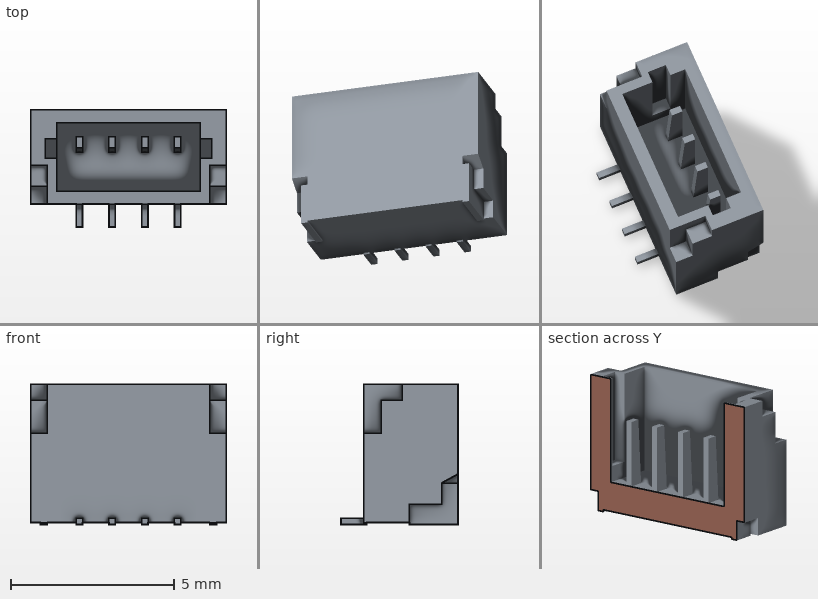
import cadquery as cq

length = 6.0
height = 4.3
overall_depth = 3.6
body_depth = 2.9
standoff = 0.06

cavity_length = 4.39
cavity_back = 0.4
cavity_front = 2.495
floor_level = 1.0
key_length = 5.11
key_back = 0.895
key_front = 1.495
key_floor_level = 1.5

notch_width = 0.51
upper_notch_back = 1.71
upper_notch_height = 0.5
lower_notch_back = 2.35
notch_height = 1.5

tab_inset = 0.3
tab_thickness = 0.21
tab_upright_depth = 0.51
tab_foot_depth = 1.5
tab_foot_height = 0.62
tab_height = 1.27
pocket_height = 1.55

contact_count = 4
contact_pitch = 1.0
contact_width = 0.2
post_back = 0.83
post_front = 1.31
post_top = 3.055
post_taper = 0.13
foot_back = 2.81
foot_height = 0.2


def block(width, back, front, bottom, top, center_x=0.0):
    """Box centred on center_x; back and front are distances from the back face."""
    return (
        cq.Workplane("XY")
        .box(width, front - back, top - bottom, centered=(True, False, False))
        .translate((center_x, -front, bottom))
    )


def side_profile(points, width, center_x):
    """Extrude a (distance from back, height) outline symmetrically about center_x."""
    outline = [(-distance, level) for distance, level in points]
    return (
        cq.Workplane("YZ", origin=(center_x, 0, 0))
        .polyline(outline)
        .close()
        .extrude(width / 2, both=True)
    )


def corner_notch(side):
    center_x = side * (length - notch_width) / 2
    upper = block(notch_width, upper_notch_back, body_depth, height - upper_notch_height, height, center_x)
    lower = block(notch_width, lower_notch_back, body_depth, height - notch_height, height, center_x)
    return upper.union(lower)


def tab_outline(back_height):
    """L outline whose top edge runs to back_height at the back face."""
    return [
        (0, 0),
        (tab_foot_depth, 0),
        (tab_foot_depth, tab_foot_height),
        (tab_upright_depth, tab_foot_height),
        (tab_upright_depth, tab_height),
        (0, back_height),
    ]


def tab_pocket(side):
    pocket_width = tab_inset + tab_thickness
    return side_profile(tab_outline(pocket_height), pocket_width, side * (length - pocket_width) / 2)


def solder_tab(side):
    center_x = side * (length / 2 - tab_inset - tab_thickness / 2)
    return side_profile(tab_outline(tab_height), tab_thickness, center_x)


def contact(center_x):
    post = side_profile(
        [
            (post_back, floor_level),
            (post_front, floor_level),
            (post_front - post_taper, post_top),
            (post_back, post_top),
        ],
        contact_width,
        center_x,
    )
    foot = block(contact_width, foot_back, overall_depth, 0, foot_height, center_x)
    return post.union(foot)


result = block(length, 0, body_depth, standoff, height)
result = result.cut(block(cavity_length, cavity_back, cavity_front, floor_level, height))
result = result.cut(block(key_length, key_back, key_front, key_floor_level, height))

for side in (-1, 1):
    result = result.cut(corner_notch(side)).cut(tab_pocket(side))
    result = result.union(solder_tab(side))

for index in range(contact_count):
    result = result.union(contact((index - (contact_count - 1) / 2) * contact_pitch))